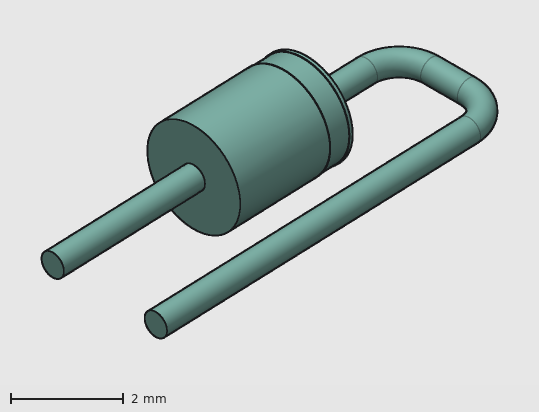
import cadquery as cq

total_length = 9.11
body_diameter = 2.3
body_length = 2.88
band_length = 0.57
band_diameter = 2.27
rim_length = 0.08
lead_diameter = 0.56
lead_pitch = 2.54
bend_radius = 0.82
front_lead_length = 3.61

lead_radius = lead_diameter / 2
body_front = front_lead_length
body_back = body_front + body_length
band_front = body_back - band_length
fold_y = total_length - lead_radius
bend_start = fold_y - bend_radius


def cylinder_along_y(diameter, y_start, y_end):
    """Cylinder on the body axis between two Y positions."""
    base = cq.Workplane("XZ", origin=(0, y_start, 0))
    return base.circle(diameter / 2).extrude(y_start - y_end)


def make_body():
    """Cylindrical case with a shallow marking band behind a full-size rim."""
    case = cylinder_along_y(body_diameter, body_front, band_front)
    band = cylinder_along_y(band_diameter, band_front, body_back - rim_length)
    rim = cylinder_along_y(body_diameter, body_back - rim_length, body_back)
    return case.union(band).union(rim)


def make_lead():
    """Round wire through the body, folded back by two quarter bends."""
    path = (
        cq.Workplane("XY")
        .lineTo(0, bend_start)
        .radiusArc((bend_radius, fold_y), bend_radius)
        .lineTo(lead_pitch - bend_radius, fold_y)
        .radiusArc((lead_pitch, bend_start), bend_radius)
        .lineTo(lead_pitch, 0)
    )
    return cq.Workplane("XZ").circle(lead_radius).sweep(path)


result = make_body().union(make_lead())